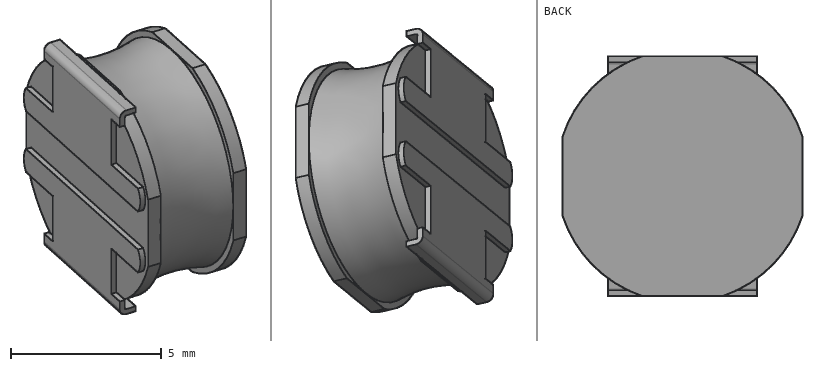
import cadquery as cq
import math

outer_size = 8.0
total_depth = 4.0
half_size = outer_size / 2

flat_half_length = 1.32
flange_radius = math.hypot(half_size, flat_half_length)

winding_length = 2.8
winding_end_radius = 3.98
winding_waist_radius = 3.8

sheet_thickness = 0.2
bend_outer_radius = 0.26
bend_inner_radius = bend_outer_radius - sheet_thickness
lip_length = 0.62
terminal_width = 4.98
neck_width = 3.86
neck_outer_z = 3.42
bar_inner_z = 0.74
bar_outer_z = 1.65
bar_straight_width = 7.36
bar_total_width = 7.65

flange_thickness = (total_depth - sheet_thickness - winding_length) / 2

terminal_front_y = -total_depth / 2
front_flange_y = terminal_front_y + sheet_thickness
winding_front_y = front_flange_y + flange_thickness
winding_back_y = winding_front_y + winding_length


def plate(outline, start_y, thickness):
    """Extrude an XZ outline toward +Y from start_y."""
    plane = cq.Workplane("XZ", origin=(0, start_y, 0))
    return outline(plane).extrude(-thickness)


def make_flange(start_y):
    """Disc trimmed by a square to leave four flats."""
    disc = plate(lambda plane: plane.circle(flange_radius), start_y, flange_thickness)
    square = plate(lambda plane: plane.rect(outer_size, outer_size), start_y, flange_thickness)
    return disc.intersect(square)


def make_winding():
    """Revolve a profile with a concave arc about the Y axis."""
    middle_y = (winding_front_y + winding_back_y) / 2
    return (
        cq.Workplane("XY")
        .moveTo(0, winding_front_y)
        .lineTo(winding_end_radius, winding_front_y)
        .threePointArc((winding_waist_radius, middle_y), (winding_end_radius, winding_back_y))
        .lineTo(0, winding_back_y)
        .close()
        .revolve(360, (0, 0, 0), (0, 1, 0))
    )


def make_bent_strip():
    """Full-width strip from the neck's outer edge through the bend to the lip."""
    lip_end_y = terminal_front_y + lip_length
    bend_y = terminal_front_y + bend_outer_radius
    bend_z = half_size - bend_outer_radius
    diagonal = math.sqrt(0.5)
    outer_middle = (bend_y - bend_outer_radius * diagonal, bend_z + bend_outer_radius * diagonal)
    inner_middle = (bend_y - bend_inner_radius * diagonal, bend_z + bend_inner_radius * diagonal)
    return (
        cq.Workplane("YZ", origin=(-terminal_width / 2, 0, 0))
        .moveTo(terminal_front_y, neck_outer_z)
        .lineTo(terminal_front_y, bend_z)
        .threePointArc(outer_middle, (bend_y, half_size))
        .lineTo(lip_end_y, half_size)
        .lineTo(lip_end_y, half_size - sheet_thickness)
        .lineTo(bend_y, half_size - sheet_thickness)
        .threePointArc(inner_middle, (front_flange_y, bend_z))
        .lineTo(front_flange_y, neck_outer_z)
        .close()
        .extrude(terminal_width)
    )


def draw_terminal_face(plane):
    """Cross bar with bowed ends, joined to a narrower neck."""
    bar_middle_z = (bar_inner_z + bar_outer_z) / 2
    straight_x = bar_straight_width / 2
    end_x = bar_total_width / 2
    neck_x = neck_width / 2
    return (
        plane.moveTo(-straight_x, bar_inner_z)
        .lineTo(straight_x, bar_inner_z)
        .threePointArc((end_x, bar_middle_z), (straight_x, bar_outer_z))
        .lineTo(neck_x, bar_outer_z)
        .lineTo(neck_x, neck_outer_z)
        .lineTo(-neck_x, neck_outer_z)
        .lineTo(-neck_x, bar_outer_z)
        .lineTo(-straight_x, bar_outer_z)
        .threePointArc((-end_x, bar_middle_z), (-straight_x, bar_inner_z))
        .close()
    )


def make_terminal(turn_angle):
    """Terminal at the +Z edge, turned about the coil axis."""
    face = plate(draw_terminal_face, terminal_front_y, sheet_thickness)
    return face.union(make_bent_strip()).rotate((0, 0, 0), (0, 1, 0), turn_angle)


def make_front_flange(terminals):
    """Flange with both edges recessed to seat the lips and inner bends of the terminals."""
    lip_seat_depth = lip_length - sheet_thickness
    flange = make_flange(front_flange_y)
    for side in (-1, 1):
        lip_seat = cq.Workplane("XY").box(terminal_width, lip_seat_depth, sheet_thickness).translate(
            (0, front_flange_y + lip_seat_depth / 2, side * (half_size - sheet_thickness / 2))
        )
        flange = flange.cut(lip_seat)
    for terminal in terminals:
        flange = flange.cut(terminal)
    return flange


terminals = [make_terminal(turn_angle) for turn_angle in (0, 180)]
front_flange = make_front_flange(terminals)
winding = make_winding()
back_flange = make_flange(winding_back_y)

result = cq.Compound.makeCompound(
    [front_flange.val(), back_flange.val(), winding.val()]
    + [terminal.val() for terminal in terminals]
)